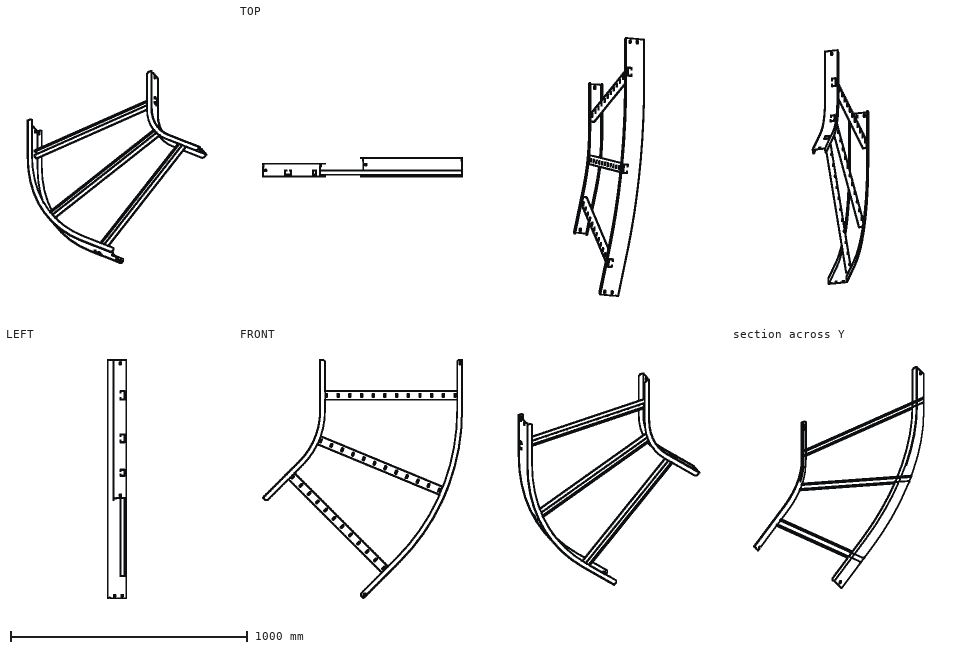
import cadquery as cq
import math


BEND_ANGLE = 45.0
LADDER_WIDTH = 600.85
INNER_RADIUS = 300.0
OUTER_RADIUS = INNER_RADIUS + LADDER_WIDTH
LEG_LENGTH = 216.65

SHEET = 2.0
FRONT_Y = -40.0
INNER_RAIL_HEIGHT = 55.0
OUTER_RAIL_HEIGHT = 80.0
FLANGE_WIDTH = 22.0
FLANGE_CORNER_CHAMFER = 7.0

GROOVE_FROM_BACK = 10.0
GROOVE_MOUTH = 9.2
GROOVE_FLOOR = 2.8
GROOVE_DEPTH = 3.2
GROOVE_BEND_RADIUS = 2.5

END_SLOT_LENGTH = 12.0
END_SLOT_WIDTH = 7.0
END_SLOT_SETBACK = 15.0
INNER_WEB_SLOT_Y = [-14.0]
OUTER_WEB_SLOT_Y = [-22.0, 10.0]
FLANGE_SLOT_FROM_WEB = 9.0

RUNG_HEIGHT = 38.0
RUNG_DEPTH = 18.5
RUNG_FRONT_Y = -32.5
RUNG_LIP = 9.0
RUNG_BEND_RADIUS = 3.0
RUNG_END_SETBACK = 150.0
RUNG_SLOT_COUNT = 12
RUNG_FIRST_SLOT = 28.0
RUNG_SLOT_PITCH = 49.3
RUNG_SLOT_LENGTH = 13.0
RUNG_SLOT_WIDTH = 6.0

ORIGIN = cq.Vector(0, 0, 0)
Y_AXIS = cq.Vector(0, 1, 0)


def turned(body, angle):
    """Swing a body about the bend axis, from the upper leg toward the lower leg."""
    return body.rotate(ORIGIN, Y_AXIS, angle)


def rail_section(web_radius, toward_flange, height):
    """C-section face in the XY plane, with the outside of its grooved web at web_radius."""
    back_y = FRONT_Y + height
    groove_y = back_y - GROOVE_FROM_BACK
    half_mouth = GROOVE_MOUTH / 2
    half_floor = GROOVE_FLOOR / 2
    closed_side = 2 * FLANGE_WIDTH

    outline = [
        (0, FRONT_Y),
        (0, groove_y - half_mouth),
        (GROOVE_DEPTH, groove_y - half_floor),
        (GROOVE_DEPTH, groove_y + half_floor),
        (0, groove_y + half_mouth),
        (0, back_y),
        (closed_side, back_y),
        (closed_side, FRONT_Y),
    ]
    corners = [cq.Vector(web_radius + toward_flange * x, y, 0) for x, y in outline]
    outside = cq.Face.makeFromWires(cq.Wire.makePolygon(corners, close=True))
    groove_bends = [corner for corner in outside.Vertices() if FRONT_Y < corner.Y < back_y]
    outside = outside.fillet2D(GROOVE_BEND_RADIUS, groove_bends)
    hollow = cq.Face.makeFromWires(outside.outerWire().offset2D(-SHEET)[0])

    trim_x = web_radius + toward_flange * FLANGE_WIDTH / 2
    trim = cq.Face.makePlane(2 * height, FLANGE_WIDTH, (trim_x, FRONT_Y, 0), (0, 0, 1))
    return outside.cut(hollow).intersect(trim).Faces()[0]


def rail_leg(web_radius, toward_flange, height, web_slot_y, flange_slot):
    """Upper straight leg, with chamfered flange corners and end slots."""
    section = rail_section(web_radius, toward_flange, height)
    leg = cq.Workplane(cq.Solid.extrudeLinear(section, cq.Vector(0, 0, LEG_LENGTH)))

    free_edge = web_radius + toward_flange * FLANGE_WIDTH
    corner = (
        cq.Workplane("XZ", origin=(0, FRONT_Y, 0))
        .moveTo(free_edge, LEG_LENGTH)
        .lineTo(free_edge - toward_flange * FLANGE_CORNER_CHAMFER, LEG_LENGTH)
        .lineTo(free_edge, LEG_LENGTH - FLANGE_CORNER_CHAMFER)
        .close()
        .extrude(-height)
    )
    leg = leg.cut(corner)

    slot_z = LEG_LENGTH - END_SLOT_SETBACK
    web_slots = (
        cq.Workplane("YZ", origin=(web_radius, 0, 0))
        .pushPoints([(y, slot_z) for y in web_slot_y])
        .slot2D(END_SLOT_LENGTH, END_SLOT_WIDTH, 90)
        .extrude(toward_flange * SHEET)
    )
    leg = leg.cut(web_slots)

    if flange_slot:
        slot_x = web_radius + toward_flange * FLANGE_SLOT_FROM_WEB
        slot = (
            cq.Workplane("XZ", origin=(0, FRONT_Y, 0))
            .center(slot_x, slot_z)
            .slot2D(END_SLOT_LENGTH, END_SLOT_WIDTH, 90)
            .extrude(-SHEET)
        )
        leg = leg.cut(slot)
    return leg


def make_rail(web_radius, toward_flange, height, web_slot_y, flange_slot):
    """Upper leg, arc and lower leg as one solid; the lower leg mirrors the upper one."""
    upper_leg = rail_leg(web_radius, toward_flange, height, web_slot_y, flange_slot)
    lower_leg = turned(upper_leg.mirror("XY"), BEND_ANGLE)
    section = rail_section(web_radius, toward_flange, height)
    arc = cq.Workplane(cq.Solid.revolve(section, BEND_ANGLE, ORIGIN, Y_AXIS))
    return upper_leg.union(arc).union(lower_leg)


def make_rung(first_x, last_x):
    """Slotted C channel along X, centred on Z = 0 and open toward the back."""
    length = last_x - first_x
    center_y = RUNG_FRONT_Y + RUNG_DEPTH / 2
    inner_height = RUNG_HEIGHT - 2 * SHEET
    inner_depth = RUNG_DEPTH - 2 * SHEET
    mouth = RUNG_HEIGHT - 2 * RUNG_LIP

    outside = (
        cq.Workplane("YZ", origin=(first_x, center_y, 0))
        .rect(RUNG_DEPTH, RUNG_HEIGHT)
        .extrude(length)
        .edges("|X")
        .fillet(RUNG_BEND_RADIUS)
    )
    inside = (
        cq.Workplane("YZ", origin=(first_x, center_y, 0))
        .rect(inner_depth, inner_height)
        .extrude(length)
        .edges("|X")
        .fillet(RUNG_BEND_RADIUS - SHEET)
    )
    opening = (
        cq.Workplane("YZ", origin=(first_x, center_y + RUNG_DEPTH / 2, 0))
        .rect(2 * SHEET, mouth)
        .extrude(length)
    )
    slots = (
        cq.Workplane("XZ", origin=(INNER_RADIUS + RUNG_FIRST_SLOT, RUNG_FRONT_Y, 0))
        .pushPoints([(i * RUNG_SLOT_PITCH, 0) for i in range(RUNG_SLOT_COUNT)])
        .rect(RUNG_SLOT_WIDTH, RUNG_SLOT_LENGTH)
        .extrude(-SHEET)
    )
    return outside.cut(inside).cut(opening).cut(slots)


def make_leg_rung():
    """Rung across the upper legs, its ends flush with the outside web faces."""
    rung_z = LEG_LENGTH - RUNG_END_SETBACK
    return make_rung(INNER_RADIUS, OUTER_RADIUS).translate((0, 0, rung_z))


def make_arc_rung():
    """Rung on the bend's bisector, its ends rounded flush with the curved web faces."""
    end_drop = INNER_RADIUS - math.sqrt(INNER_RADIUS**2 - (RUNG_HEIGHT / 2) ** 2)
    between_webs = (
        cq.Workplane("XZ", origin=(0, RUNG_FRONT_Y, 0))
        .circle(OUTER_RADIUS)
        .circle(INNER_RADIUS)
        .extrude(-RUNG_DEPTH)
    )
    rung = make_rung(INNER_RADIUS - end_drop, OUTER_RADIUS).intersect(between_webs)
    return turned(rung, BEND_ANGLE / 2)


upper_rung = make_leg_rung()
rungs = [
    upper_rung,
    make_arc_rung(),
    turned(upper_rung.mirror("XY"), BEND_ANGLE),
]

inner_rail = make_rail(INNER_RADIUS, 1, INNER_RAIL_HEIGHT, INNER_WEB_SLOT_Y, False)
outer_rail = make_rail(OUTER_RADIUS, -1, OUTER_RAIL_HEIGHT, OUTER_WEB_SLOT_Y, True)
for rung in rungs:
    inner_rail = inner_rail.cut(rung)
    outer_rail = outer_rail.cut(rung)

result = cq.Compound.makeCompound(
    [inner_rail.val(), outer_rail.val()] + [rung.val() for rung in rungs]
)